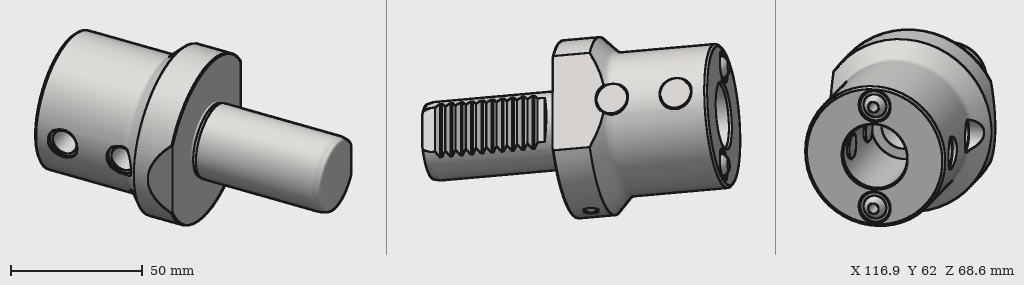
import cadquery as cq
import math


DRILL_POINT_ANGLE = 118

BODY_DIAMETER = 55.0
BODY_LENGTH = 60.1
BODY_EDGE_CHAMFER = 0.9
FLANGE_DIAMETER = 68.0
FLANGE_LENGTH = 14.5
FLANGE_EDGE_CHAMFER = 0.4
FLANGE_FLAT_Y = 28.0
CONE_ANGLE = 45
CONE_ROOT_FILLET = 4.0
RELIEF_LENGTH = 8.5
RELIEF_ANGLE = 25

SHANK_DIAMETER = 30.0
SHANK_LENGTH = 54.9
NECK_DIAMETER = 29.1
NECK_LENGTH = 1.0
NECK_ROOT_FILLET = 0.5
NECK_CONE_END = 2.5
LEAD_IN_LENGTH = 3.0
SHANK_END_FILLET = 1.0

TOOTH_FLAT_Y = 12.0
TOOTH_FLAT_START = 7.0
TOOTH_FLAT_ANGLE = 25
TOOTH_GAP_COUNT = 10
FIRST_GAP_X = 11.8
LAST_GAP_X = 47.9
TOOTH_DEPTH = 1.6
TOOTH_ROOT_WIDTH = 0.7

BORE_DIAMETER = 25.0
BORE_DEPTH = 43.0
BORE_CHAMFER_WIDTH = 0.5
BORE_CHAMFER_LENGTH = 1.0
DRILL_DIAMETER = 17.0

SCREW_HOLE_DIAMETER = 10.0
SCREW_DIAMETER = 12.0
SCREW_TIP_CHAMFER = 0.9
SCREW_SEAT_DIAMETER = 12.5
SCREW_SEAT_DEPTH = 1.6
SCREW_TIP_Y = 11.7
SCREW_POSITIONS = (-47.9, -23.0)

NOZZLE_OFFSET = 20.0
NOZZLE_SEAT_DIAMETER = 12.5
NOZZLE_SEAT_DEPTH = 0.5
NOZZLE_SEAT_TAPER = 45
NOZZLE_BALL_DIAMETER = 10.0
NOZZLE_PROTRUSION = 1.9
NOZZLE_HOLE_DIAMETER = 4.1
CHANNEL_X = -8.2
CHANNEL_DIAMETER = 5.7
CHANNEL_TOP_Z = 21.0
PLUG_BALL_DIAMETER = 6.0
PLUG_PROTRUSION = 0.6

FRONT_X = -BODY_LENGTH
BODY_RADIUS = BODY_DIAMETER / 2
FLANGE_RADIUS = FLANGE_DIAMETER / 2
NOZZLE_HEIGHTS = (-NOZZLE_OFFSET, NOZZLE_OFFSET)


def along_x(start, diameter, length, z=0):
    """Cylinder parallel to X, from X = start towards +X."""
    return cq.Workplane("YZ", origin=(start, 0, z)).circle(diameter / 2).extrude(length)


def along_y(x, start, end, diameter):
    """Cylinder parallel to Y, between Y = start and Y = end."""
    return cq.Workplane("XZ", origin=(x, start, 0)).circle(diameter / 2).extrude(start - end)


def revolve_about_x(profile):
    return profile.close().revolve(360, (0, 0, 0), (1, 0, 0))


def drill_point_length(radius):
    return radius / math.tan(math.radians(DRILL_POINT_ANGLE / 2))


def make_body():
    """Body blending into the flange through a cone with a rounded root."""
    cone_start = -FLANGE_LENGTH - (FLANGE_RADIUS - BODY_RADIUS) / math.tan(math.radians(CONE_ANGLE))
    tangent = CONE_ROOT_FILLET * math.tan(math.radians(CONE_ANGLE / 2))
    along_cone = tangent * math.cos(math.radians(CONE_ANGLE))
    up_cone = tangent * math.sin(math.radians(CONE_ANGLE))
    half_turn = math.radians(CONE_ANGLE / 2)
    arc_middle = (
        cone_start - tangent + CONE_ROOT_FILLET * math.sin(half_turn),
        BODY_RADIUS + CONE_ROOT_FILLET * (1 - math.cos(half_turn)),
    )
    profile = (
        cq.Workplane("XY")
        .moveTo(FRONT_X, 0)
        .lineTo(FRONT_X, BODY_RADIUS - BODY_EDGE_CHAMFER)
        .lineTo(FRONT_X + BODY_EDGE_CHAMFER, BODY_RADIUS)
        .lineTo(cone_start - tangent, BODY_RADIUS)
        .threePointArc(arc_middle, (cone_start + along_cone, BODY_RADIUS + up_cone))
        .lineTo(-FLANGE_LENGTH, FLANGE_RADIUS)
        .lineTo(-FLANGE_EDGE_CHAMFER, FLANGE_RADIUS)
        .lineTo(0, FLANGE_RADIUS - FLANGE_EDGE_CHAMFER)
        .lineTo(0, 0)
    )
    return revolve_about_x(profile)


def flange_trim():
    """Material outside the +Y flat and the sloped relief on the -Y side."""
    flat = cq.Workplane("XY").box(
        BODY_LENGTH, FLANGE_DIAMETER, FLANGE_DIAMETER, centered=(False, False, True)
    ).translate((FRONT_X, FLANGE_FLAT_Y, 0))
    relief_depth = RELIEF_LENGTH * math.tan(math.radians(RELIEF_ANGLE))
    relief = (
        cq.Workplane("XY")
        .moveTo(-RELIEF_LENGTH, -FLANGE_RADIUS)
        .lineTo(0, -FLANGE_RADIUS + relief_depth)
        .lineTo(0, -FLANGE_RADIUS)
        .close()
        .extrude(FLANGE_RADIUS, both=True)
    )
    return flat.union(relief)


def make_shank():
    """Shank with a tapered neck and a tapered, rounded lead-in at its end."""
    radius = SHANK_DIAMETER / 2
    neck_radius = NECK_DIAMETER / 2
    profile = (
        cq.Workplane("XY")
        .lineTo(0, neck_radius + NECK_ROOT_FILLET)
        .radiusArc((NECK_ROOT_FILLET, neck_radius), -NECK_ROOT_FILLET)
        .lineTo(NECK_LENGTH, neck_radius)
        .lineTo(NECK_CONE_END, radius)
        .lineTo(SHANK_LENGTH - LEAD_IN_LENGTH, radius)
        .lineTo(SHANK_LENGTH - SHANK_END_FILLET, neck_radius)
        .radiusArc((SHANK_LENGTH, neck_radius - SHANK_END_FILLET), SHANK_END_FILLET)
        .lineTo(SHANK_LENGTH, 0)
    )
    return revolve_about_x(profile).cut(tooth_flat())


def tooth_flat():
    """Flat along the shank together with its 45 degree tooth gaps."""
    top_y = SHANK_DIAMETER / 2
    ramp = (top_y - TOOTH_FLAT_Y) * math.tan(math.radians(TOOTH_FLAT_ANGLE))
    pitch = (LAST_GAP_X - FIRST_GAP_X) / (TOOTH_GAP_COUNT - 1)
    root_half = TOOTH_ROOT_WIDTH / 2
    root_y = TOOTH_FLAT_Y - TOOTH_DEPTH
    profile = (
        cq.Workplane("XY")
        .moveTo(TOOTH_FLAT_START - ramp, top_y)
        .lineTo(TOOTH_FLAT_START, TOOTH_FLAT_Y)
    )
    for index in range(TOOTH_GAP_COUNT):
        gap_x = FIRST_GAP_X + index * pitch
        profile = (
            profile.lineTo(gap_x - root_half - TOOTH_DEPTH, TOOTH_FLAT_Y)
            .lineTo(gap_x - root_half, root_y)
            .lineTo(gap_x + root_half, root_y)
            .lineTo(gap_x + root_half + TOOTH_DEPTH, TOOTH_FLAT_Y)
        )
    profile = profile.lineTo(SHANK_LENGTH, TOOTH_FLAT_Y).lineTo(SHANK_LENGTH, top_y)
    return profile.close().extrude(SHANK_DIAMETER, both=True)


def tool_bore():
    """Chamfered bore with a drill point in its floor."""
    radius = BORE_DIAMETER / 2
    floor_x = FRONT_X + BORE_DEPTH
    drill_radius = DRILL_DIAMETER / 2
    profile = (
        cq.Workplane("XY")
        .moveTo(FRONT_X, 0)
        .lineTo(FRONT_X, radius + BORE_CHAMFER_WIDTH)
        .lineTo(FRONT_X + BORE_CHAMFER_LENGTH, radius)
        .lineTo(floor_x, radius)
        .lineTo(floor_x, drill_radius)
        .lineTo(floor_x + drill_point_length(drill_radius), 0)
    )
    return revolve_about_x(profile)


def cut_screw_holes(part):
    """Counterbored holes on both sides; -Y is open, +Y holds a screw level with the body."""
    seat_y = BODY_RADIUS - SCREW_SEAT_DEPTH
    for x in SCREW_POSITIONS:
        part = part.cut(along_y(x, -FLANGE_RADIUS, -seat_y, SCREW_SEAT_DIAMETER))
        part = part.cut(along_y(x, seat_y, FLANGE_RADIUS, SCREW_SEAT_DIAMETER))
        part = part.cut(along_y(x, -seat_y, 0, SCREW_HOLE_DIAMETER))
        screw = along_y(x, SCREW_TIP_Y, BODY_RADIUS, SCREW_DIAMETER)
        part = part.union(screw.faces("<Y").chamfer(SCREW_TIP_CHAMFER))
    return part


def add_nozzles(part):
    """Ball nozzles in shallow conical seats, each with its end cut flat where the hole leaves it."""
    ball_radius = NOZZLE_BALL_DIAMETER / 2
    tip_x = FRONT_X - NOZZLE_PROTRUSION
    tip_to_center = math.sqrt(ball_radius**2 - (NOZZLE_HOLE_DIAMETER / 2) ** 2)
    for z in NOZZLE_HEIGHTS:
        seat = (
            cq.Workplane("YZ", origin=(FRONT_X, 0, z))
            .circle(NOZZLE_SEAT_DIAMETER / 2)
            .extrude(NOZZLE_SEAT_DEPTH, taper=NOZZLE_SEAT_TAPER)
        )
        ball = cq.Workplane("XY").sphere(ball_radius).translate((tip_x + tip_to_center, 0, z))
        part = part.cut(seat).union(ball)
        bore_start = tip_x - ball_radius
        part = part.cut(along_x(bore_start, NOZZLE_HOLE_DIAMETER, CHANNEL_X - bore_start, z))
    return part


def cut_coolant_channel(part):
    """Blind channel with a drill point, drilled up from the bottom of the flange."""
    radius = CHANNEL_DIAMETER / 2
    channel = (
        cq.Workplane("XZ", origin=(CHANNEL_X, 0, 0))
        .moveTo(0, -FLANGE_RADIUS)
        .lineTo(radius, -FLANGE_RADIUS)
        .lineTo(radius, CHANNEL_TOP_Z)
        .lineTo(0, CHANNEL_TOP_Z + drill_point_length(radius))
        .close()
        .revolve(360, (0, 0, 0), (0, 1, 0))
    )
    return part.cut(channel)


def plug_ball():
    """Ball pressed into the channel mouth, standing slightly proud of the flange."""
    radius = PLUG_BALL_DIAMETER / 2
    center_z = -FLANGE_RADIUS - PLUG_PROTRUSION + radius
    return cq.Workplane("XY").sphere(radius).translate((CHANNEL_X, 0, center_z))


holder = make_body().cut(flange_trim()).union(make_shank()).cut(tool_bore())
holder = cut_screw_holes(holder)
holder = add_nozzles(holder)
result = cut_coolant_channel(holder).union(plug_ball())